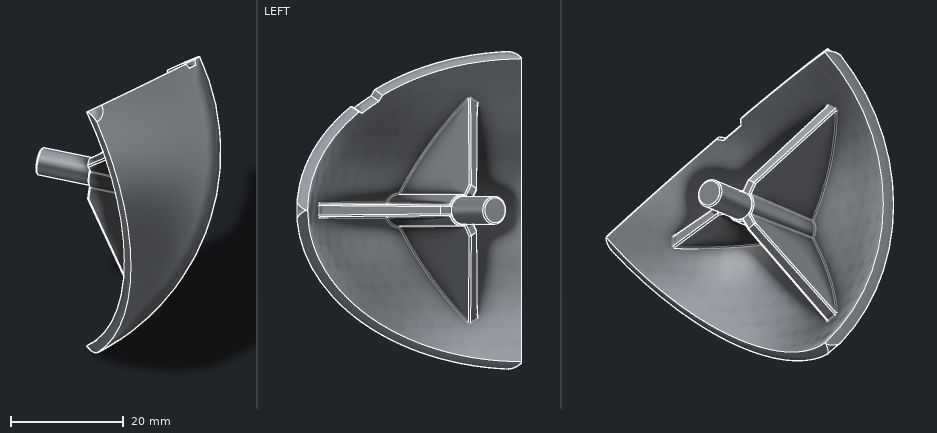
import cadquery as cq
import math

outer_radius = 39.95
wall = 2.0
inner_radius = outer_radius - wall
weld_radius = outer_radius - wall / 2

tolerance = 0.005

corner_reach = 3.0
corner_depth = 1.75
corner_round = (corner_reach**2 + corner_depth**2) / (2 * corner_depth)

post_radius = 2.5
post_tip = 8.2
post_chamfer = 0.3
post_step = 18.05
post_base_radius = 2.8
post_base_chamfer = 0.2

rib_edge_offset = 11.95
rib_start_thickness = 1.85
rib_wall_thickness = 2.55
rib_edge_chamfer = 0.3
joint_fillet = 0.2

notch_width = 5.9
notch_floor_width = 4.25
notch_depth = 0.95

half_root = math.sqrt(0.5)
side_corner = cq.Vector(0, 1, 0)
upper_corner = cq.Vector(half_root, 0, half_root)
lower_corner = cq.Vector(half_root, 0, -half_root)
corners = (side_corner, upper_corner, lower_corner)
post_axis = (side_corner + upper_corner + lower_corner).normalized()
origin = cq.Vector(0, 0, 0)
across_post = side_corner - post_axis * side_corner.dot(post_axis)


def ball(radius):
    return cq.Workplane("XY").sphere(radius)


def make_shell():
    size = outer_radius
    octant = cq.Workplane("XY").box(size, size, size, centered=False)
    octant = octant.rotate((0, 0, 0), (0, 1, 0), 45)
    return ball(outer_radius).cut(ball(inner_radius)).intersect(octant)


def make_corner_cutter(direction, sideways):
    """Ring-shaped cutter that leaves a rounded shoulder around a corner axis."""
    plane = cq.Plane(origin, sideways, direction)
    low = outer_radius - corner_depth
    centre_height = outer_radius - corner_round
    half_angle = (math.pi / 2 + math.asin((low - centre_height) / corner_round)) / 2
    middle = (
        corner_reach - corner_round * math.cos(half_angle),
        centre_height + corner_round * math.sin(half_angle),
    )
    above = outer_radius + wall
    profile = (
        cq.Workplane("XY")
        .moveTo(0, low)
        .threePointArc(middle, (corner_reach, outer_radius))
        .lineTo(corner_reach, above)
        .lineTo(0, above)
        .close()
    )
    ring = profile.revolve(360, (0, 0), (0, 1))
    upright = ring.rotate((0, 0, 0), (1, 0, 0), 90)
    return upright.val().moved(cq.Location(plane))


def make_post():
    tip_plane = cq.Plane(post_axis * post_tip, across_post, post_axis)
    step_plane = cq.Plane(post_axis * post_step, across_post, post_axis)
    pin = cq.Workplane(tip_plane).circle(post_radius).extrude(outer_radius - post_tip)
    pin = pin.faces(cq.selectors.DirectionMinMaxSelector(post_axis, False)).chamfer(post_chamfer)
    base = cq.Workplane(step_plane).circle(post_base_radius).extrude(outer_radius - post_step)
    base = base.faces(cq.selectors.DirectionMinMaxSelector(post_axis, False)).chamfer(post_base_chamfer)
    return pin.union(base).intersect(ball(weld_radius))


def make_rib():
    """Rib toward the side corner, thickening from the post step to the wall."""
    plane = cq.Plane(origin, post_axis, across_post)
    start = rib_start_thickness / 2
    end = rib_wall_thickness / 2
    section = [(post_step, -start), (outer_radius, -end), (outer_radius, end), (post_step, start)]
    web = cq.Workplane(plane).polyline(section).close().extrude(outer_radius)
    keep = cq.Workplane("XY").box(outer_radius, 2 * outer_radius, outer_radius, centered=(False, True, True))
    web = web.intersect(keep.translate((rib_edge_offset, 0, 0)))
    start_face = cq.selectors.DirectionMinMaxSelector(post_axis, False)
    free_edges = web.faces("<X").add(web.faces(start_face)).edges("not |Z")
    web = free_edges.chamfer(rib_edge_chamfer)
    return web.intersect(ball(weld_radius))


def make_notch():
    """Slot with sloping ends, cut through the wall midway along the upper rim."""
    radial = (side_corner + upper_corner).normalized()
    plane = cq.Plane(origin, side_corner - upper_corner, radial)
    top = notch_width / 2
    floor = notch_floor_width / 2
    section = [(-top, 0), (-floor, -notch_depth), (floor, -notch_depth), (top, 0)]
    slot = cq.Workplane(plane).polyline(section).close()
    return slot.extrude(outer_radius + wall)


def distance_to_axis(point):
    return point.cross(post_axis).Length


def rim_clearance(point):
    """Distance to the nearest of the three flat rim faces."""
    return min(point.dot(corner) for corner in corners)


def is_joint(edge):
    """True for edges on the inner wall surface, or on the post base along a rib."""
    points = [edge.positionAt(step) for step in (0.1, 0.5, 0.9)]
    off_rim = all(rim_clearance(point) > wall for point in points)
    on_wall = all(abs(point.Length - inner_radius) < tolerance for point in points)
    on_post = all(abs(distance_to_axis(point) - post_base_radius) < tolerance for point in points)
    rise = abs((points[2] - points[0]).dot(post_axis))
    along_post = rise > post_base_radius
    inside_wall = all(point.Length < inner_radius + tolerance for point in points)
    return off_rim and inside_wall and (on_wall or (on_post and along_post))


result = make_shell()
for index, corner in enumerate(corners):
    result = result.cut(make_corner_cutter(corner, corners[index - 1]))
result = result.union(make_post())
rib = make_rib()
for index in range(len(corners)):
    result = result.union(rib.rotate((0, 0, 0), post_axis.toTuple(), index * 360 / len(corners)))
joints = [edge for edge in result.edges().vals() if is_joint(edge)]
result = result.newObject(joints).fillet(joint_fillet)
result = result.cut(make_notch())